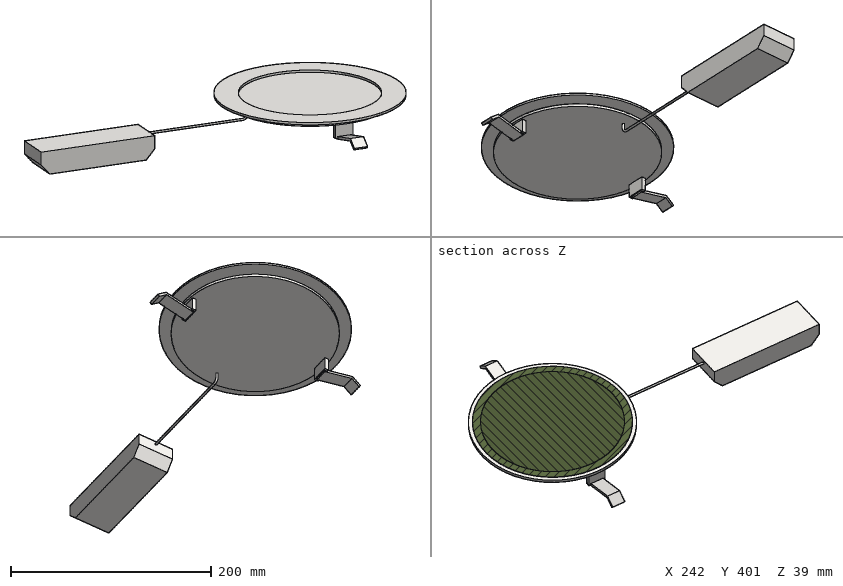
import cadquery as cq
import math


TRIM_DIAMETER = 192.0
NECK_DIAMETER = 160.0
OPENING_DIAMETER = 143.0
TRIM_BACK_Z = -2.5
NECK_BACK_Z = -5.0

PLATE_DIAMETER = 168.0
PLATE_BACK_Z = -8.0
DIFFUSER_FRONT_Z = TRIM_BACK_Z

BRACKET_INNER_X = 77.0
BRACKET_THICKNESS = 4.5
BRACKET_WIDTH = 19.2
BRACKET_BOTTOM_Z = -23.0

CLIP_WIDTH = 14.5
CLIP_THICKNESS = 3.0
CLIP_INNER_X = 77.8
CLIP_BEND_X = 111.5
CLIP_BEND_Z = -14.0
CLIP_TIP_X = 121.0
CLIP_ARM_ANGLE = 13.0
CLIP_TIP_ANGLE = 38.0

OVERALL_LENGTH = 401.0
DRIVER_LENGTH = 125.0
DRIVER_WIDTH = 40.0
DRIVER_TOP_Z = -14.5
DRIVER_BOTTOM_Z = -39.0
DRIVER_END_Y = TRIM_DIAMETER / 2 - OVERALL_LENGTH
DRIVER_FRONT_Y = DRIVER_END_Y + DRIVER_LENGTH
SLOPE_LENGTH = 9.5
SLOPE_HEIGHT = 11.0

CABLE_DIAMETER = 2.33
CABLE_START_Y = -69.5
CABLE_RUN_Z = -18.0
CABLE_BEND_RADIUS = 5.0


def disc(diameter, top_z, bottom_z):
    """Round plate centred on the lamp axis."""
    return cq.Workplane("XY").workplane(offset=bottom_z).circle(diameter / 2).extrude(top_z - bottom_z)


def make_frame():
    """Trim ring and neck with the light opening through both."""
    trim = disc(TRIM_DIAMETER, 0, TRIM_BACK_Z)
    neck = disc(NECK_DIAMETER, TRIM_BACK_Z, NECK_BACK_Z)
    return trim.union(neck).cut(disc(OPENING_DIAMETER, 0, NECK_BACK_Z))


def make_diffuser():
    """Light panel filling the neck, set back from the front face."""
    return disc(OPENING_DIAMETER, DIFFUSER_FRONT_Z, NECK_BACK_Z)


def make_back_plate():
    return disc(PLATE_DIAMETER, NECK_BACK_Z, PLATE_BACK_Z)


def make_clip():
    """Bent strip: an arm rising outward and a tip bent down, of constant thickness."""
    arm = math.radians(CLIP_ARM_ANGLE)
    tip = math.radians(CLIP_TIP_ANGLE)
    inner_top = (CLIP_INNER_X, CLIP_BEND_Z - (CLIP_BEND_X - CLIP_INNER_X) * math.tan(arm))
    bend_top = (CLIP_BEND_X, CLIP_BEND_Z)
    tip_top = (CLIP_TIP_X, CLIP_BEND_Z - (CLIP_TIP_X - CLIP_BEND_X) * math.tan(tip))
    tip_bottom = (tip_top[0] - CLIP_THICKNESS * math.sin(tip), tip_top[1] - CLIP_THICKNESS * math.cos(tip))
    inner_bottom = (inner_top[0] + CLIP_THICKNESS * math.sin(arm), inner_top[1] - CLIP_THICKNESS * math.cos(arm))
    half_bend = (arm + tip) / 2
    lean = (tip - arm) / 2
    miter = CLIP_THICKNESS / math.cos(half_bend)
    bend_bottom = (bend_top[0] - miter * math.sin(lean), bend_top[1] - miter * math.cos(lean))
    outline = [inner_top, bend_top, tip_top, tip_bottom, bend_bottom, inner_bottom]
    return cq.Workplane("XZ").polyline(outline).close().extrude(CLIP_WIDTH / 2, both=True)


def make_bracket():
    """Upright block under the back plate, slotted where the clip passes into it."""
    block = cq.Workplane("XY").box(
        BRACKET_THICKNESS,
        BRACKET_WIDTH,
        PLATE_BACK_Z - BRACKET_BOTTOM_Z,
        centered=(False, True, False),
    ).translate((BRACKET_INNER_X, 0, BRACKET_BOTTOM_Z))
    return block.cut(make_clip())


def make_driver():
    """Box with both lower ends sloped."""
    slope_top_z = DRIVER_BOTTOM_Z + SLOPE_HEIGHT
    outline = [
        (DRIVER_END_Y, DRIVER_TOP_Z),
        (DRIVER_FRONT_Y, DRIVER_TOP_Z),
        (DRIVER_FRONT_Y, slope_top_z),
        (DRIVER_FRONT_Y - SLOPE_LENGTH, DRIVER_BOTTOM_Z),
        (DRIVER_END_Y + SLOPE_LENGTH, DRIVER_BOTTOM_Z),
        (DRIVER_END_Y, slope_top_z),
    ]
    return cq.Workplane("YZ").polyline(outline).close().extrude(DRIVER_WIDTH / 2, both=True)


def make_cable():
    """Round cable dropping from the back plate, then running to the driver."""
    path = (
        cq.Workplane("YZ")
        .moveTo(CABLE_START_Y, PLATE_BACK_Z)
        .lineTo(CABLE_START_Y, CABLE_RUN_Z + CABLE_BEND_RADIUS)
        .tangentArcPoint((CABLE_START_Y - CABLE_BEND_RADIUS, CABLE_RUN_Z), relative=False)
        .lineTo(DRIVER_FRONT_Y, CABLE_RUN_Z)
    )
    section = cq.Workplane("XY", origin=(0, CABLE_START_Y, PLATE_BACK_Z)).circle(CABLE_DIAMETER / 2)
    return section.sweep(path)


frame = make_frame()
diffuser = make_diffuser()
back_plate = make_back_plate()
driver = make_driver()
cable = make_cable()

brackets = []
clips = []
for side_angle in (0, 180):
    brackets.append(make_bracket().rotate((0, 0, 0), (0, 0, 1), side_angle))
    clips.append(make_clip().rotate((0, 0, 0), (0, 0, 1), side_angle))

bodies = [frame, diffuser, back_plate, *brackets, *clips, driver, cable]
result = cq.Compound.makeCompound([body.solids().val() for body in bodies])